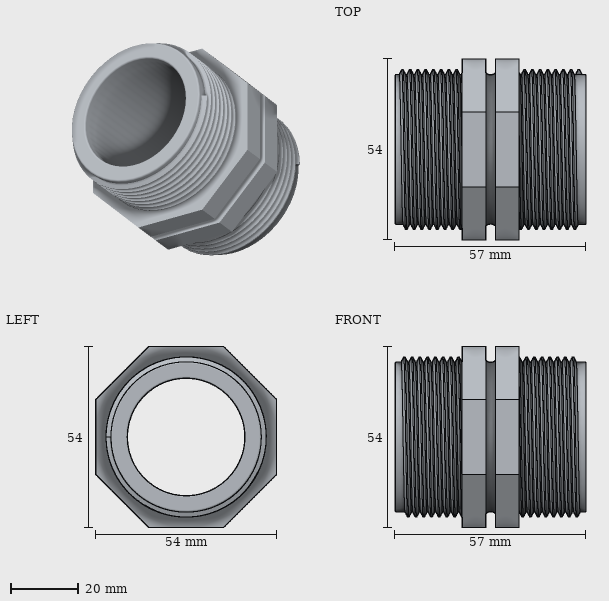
import cadquery as cq
import math

length = 57.0
bore_radius = 17.5
end_edge_radius = 0.5

across_flats = 54.0
collar_sides = 8
collar_span = 17.0
collar_gap = 2.8
collar_width = (collar_span - collar_gap) / 2

groove_floor_radius = 22.3
groove_rim_radius = 22.85

pitch = 25.4 / 11
crest_radius = 47.803 / 2
root_radius = 44.845 / 2
crest_width = pitch / 6
flank_half_angle = math.radians(55 / 2)
thread_start = 26.3
thread_turns = 8.5
thread_overlap = 0.15


def make_half_tube():
    """Tube from the -X end to the collar's inner face, with a rounded rim."""
    tube_length = (length - collar_gap) / 2
    tube = (
        cq.Workplane("YZ", origin=(-length / 2, 0, 0))
        .circle(root_radius)
        .circle(bore_radius)
        .extrude(tube_length)
    )
    return tube.faces("<X").edges().fillet(end_edge_radius)


def make_collar():
    """Octagon on the -X side with flats square to Y and Z."""
    corner_diameter = across_flats / math.cos(math.pi / collar_sides)
    corner_turn = 180 / collar_sides
    return (
        cq.Workplane("YZ")
        .polygon(collar_sides, corner_diameter)
        .circle(bore_radius)
        .extrude(collar_width)
        .rotate((0, 0, 0), (1, 0, 0), corner_turn)
        .translate((-collar_span / 2, 0, 0))
    )


def make_half_groove():
    """Ring from the collar to mid-length, its outside half of the groove."""
    half_gap = collar_gap / 2
    groove_depth = groove_rim_radius - groove_floor_radius
    arc_radius = (half_gap ** 2 + groove_depth ** 2) / (2 * groove_depth)
    return (
        cq.Workplane("XY")
        .moveTo(0, bore_radius)
        .lineTo(-half_gap, bore_radius)
        .lineTo(-half_gap, groove_rim_radius)
        .radiusArc((0, groove_floor_radius), -arc_radius)
        .close()
        .revolve(360, (0, 0, 0), (1, 0, 0))
    )


def make_thread():
    """Right-hand helical ridge on the -X half, starting at the +Y side."""
    base_radius = root_radius - thread_overlap
    crest_half = crest_width / 2
    base_half = crest_half + (crest_radius - base_radius) * math.tan(flank_half_angle)
    helix = cq.Wire.makeHelix(pitch, thread_turns * pitch, base_radius)
    ridge = (
        cq.Workplane("XZ")
        .polyline([
            (base_radius, -base_half),
            (crest_radius, -crest_half),
            (crest_radius, crest_half),
            (base_radius, base_half),
        ])
        .close()
        .sweep(cq.Workplane(obj=helix), isFrenet=True)
    )
    return ridge.rotate((0, 0, 0), (1, 1, 1), 120).translate((-thread_start, 0, 0))


def make_half():
    """The -X half of the fitting, cut off square at mid-length."""
    threaded_tube = make_half_tube().union(make_thread())
    return threaded_tube.union(make_collar()).union(make_half_groove())


half = make_half()
opposite_half = half.rotate((0, 0, 0), (0, 1, 0), 180)

result = half.union(opposite_half)